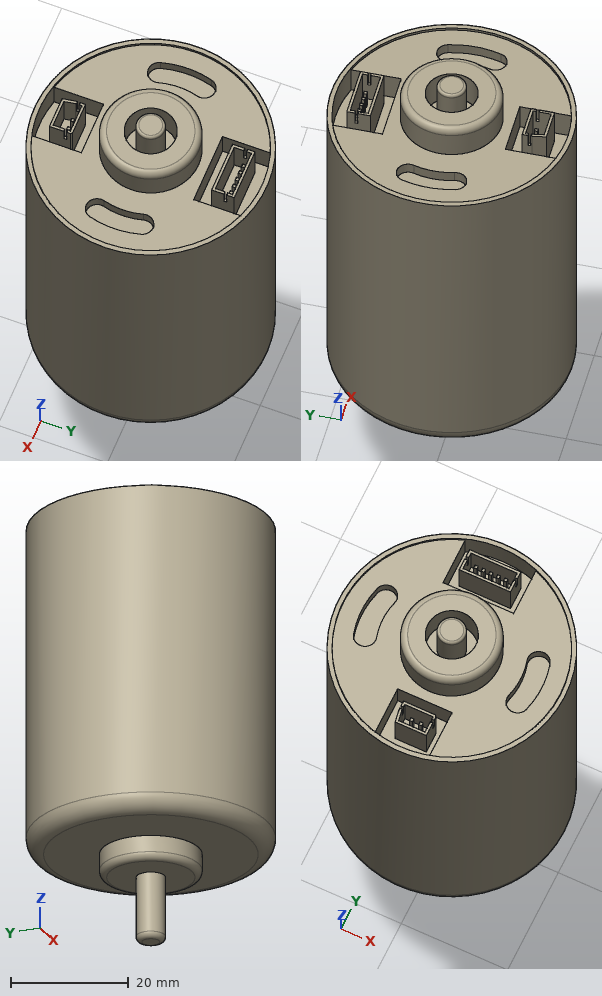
import cadquery as cq
import math

CAN_HEIGHT = 59.1
SHAFT_BOTTOM = -16.0
SHAFT_LENGTH = 82.5
SHAFT_TOP = SHAFT_BOTTOM + SHAFT_LENGTH
LOWER_BOSS_HEIGHT = 4.2
SHAFT_PROJECTION = 2.0
UPPER_BOSS_TOP = SHAFT_TOP - SHAFT_PROJECTION

CAN_DIAMETER = 42.4
CAN_FILLET = 3.0
RIM_INNER_DIAMETER = 40.7
CAP_RECESS = 0.5
CAP_LEVEL = CAN_HEIGHT - CAP_RECESS

BOSS_DIAMETER = 17.5
BOSS_FILLET = 1.2
BEARING_BORE = 9.0
SHAFT_DIAMETER = 5.0
SHAFT_TOP_FILLET = 0.5
SHAFT_BOTTOM_FILLET = 1.0

SLOT_RADIUS = 14.9
SLOT_WIDTH = 4.0
SLOT_HALF_ANGLE = 16.0
SLOT_DEPTH = 2.0

POCKET_DEPTH = 4.95
SIGNAL_POCKET_WIDTH = 13.3
SIGNAL_POCKET_START = 10.5
POWER_POCKET_WIDTH = 10.2
POWER_POCKET_START = 10.65

CONNECTOR_TOP = CAN_HEIGHT + 1.5
POCKET_FLOOR = CAP_LEVEL - POCKET_DEPTH
CONNECTOR_WALL = 0.5
CONNECTOR_BASE = 1.0
NOTCH_WIDTH = 0.5
NOTCH_DEPTH = 2.4
PIN_SIZE = 0.6
PIN_TOP_GAP = 2.6

SIGNAL_PIN_COUNT = 5
SIGNAL_PIN_PITCH = 1.4
SIGNAL_PIN_MIDDLE = -0.2
SIGNAL_WIDTH = 9.65
SIGNAL_BACK = 13.0
SIGNAL_FRONT = 17.2
SIGNAL_NOTCH_Y = 15.5
SIGNAL_PIN_Y = 15.75

POWER_PIN_COUNT = 2
POWER_PIN_PITCH = 1.7
POWER_LEFT = -2.9
POWER_RIGHT = 3.4
POWER_PIN_MIDDLE = (POWER_LEFT + POWER_RIGHT) / 2
POWER_BACK = -13.0
POWER_FRONT = -17.2
POWER_TAPER_START = -14.8
POWER_TAPER = 0.4
POWER_CORNER_CHAMFER = 0.25
POWER_NOTCH_Y = -14.3
POWER_PIN_Y = -14.5


def cylinder(diameter, bottom, top):
    return cq.Workplane("XY").workplane(offset=bottom).circle(diameter / 2).extrude(top - bottom)


def box(x_min, x_max, y_min, y_max, bottom, top):
    size = (x_max - x_min, y_max - y_min, top - bottom)
    return cq.Workplane("XY").box(*size, centered=False).translate((x_min, y_min, bottom))


def make_housing():
    can = cylinder(CAN_DIAMETER, 0, CAN_HEIGHT).faces("<Z").edges().fillet(CAN_FILLET)
    can = can.cut(cylinder(RIM_INNER_DIAMETER, CAP_LEVEL, CAN_HEIGHT))
    bosses = cylinder(BOSS_DIAMETER, -LOWER_BOSS_HEIGHT, UPPER_BOSS_TOP)
    bosses = bosses.faces("<Z or >Z").edges().fillet(BOSS_FILLET)
    return can.union(bosses).cut(cylinder(BEARING_BORE, CAP_LEVEL, UPPER_BOSS_TOP))


def make_shaft():
    shaft = cylinder(SHAFT_DIAMETER, SHAFT_BOTTOM, SHAFT_TOP)
    shaft = shaft.faces(">Z").edges().fillet(SHAFT_TOP_FILLET)
    return shaft.faces("<Z").edges().fillet(SHAFT_BOTTOM_FILLET)


def make_slot(middle_angle):
    """Arc-shaped slot centred on the given direction about the Z axis."""
    def point(radius, angle):
        turn = math.radians(middle_angle + angle)
        return radius * math.cos(turn), radius * math.sin(turn)

    inner = SLOT_RADIUS - SLOT_WIDTH / 2
    outer = SLOT_RADIUS + SLOT_WIDTH / 2
    cap_angle = SLOT_HALF_ANGLE + math.degrees(SLOT_WIDTH / 2 / SLOT_RADIUS)
    return (
        cq.Workplane("XY").workplane(offset=CAP_LEVEL - SLOT_DEPTH)
        .moveTo(*point(outer, -SLOT_HALF_ANGLE))
        .threePointArc(point(outer, 0), point(outer, SLOT_HALF_ANGLE))
        .threePointArc(point(SLOT_RADIUS, cap_angle), point(inner, SLOT_HALF_ANGLE))
        .threePointArc(point(inner, 0), point(inner, -SLOT_HALF_ANGLE))
        .threePointArc(point(SLOT_RADIUS, -cap_angle), point(outer, -SLOT_HALF_ANGLE))
        .close()
        .extrude(SLOT_DEPTH)
    )


def make_pocket(width, y_min, y_max):
    """Rectangular pocket that ends at the inside of the can rim."""
    pocket = box(-width / 2, width / 2, y_min, y_max, POCKET_FLOOR, CAP_LEVEL)
    return pocket.intersect(cylinder(RIM_INNER_DIAMETER, POCKET_FLOOR, CAP_LEVEL))


def make_shell(outline, notch_y):
    """Open-topped connector shell with a notch in both end walls."""
    def prism(bottom, inset=0):
        plan = cq.Workplane("XY").workplane(offset=bottom).polyline(outline).close()
        if inset:
            plan = plan.offset2D(-inset)
        return plan.extrude(CONNECTOR_TOP - bottom)

    shell = prism(POCKET_FLOOR)
    limits = shell.val().BoundingBox()
    notch_min = notch_y - NOTCH_WIDTH / 2
    notch_max = notch_y + NOTCH_WIDTH / 2
    notch_floor = CONNECTOR_TOP - NOTCH_DEPTH
    notches = box(limits.xmin, limits.xmax, notch_min, notch_max, notch_floor, CONNECTOR_TOP)
    return shell.cut(prism(POCKET_FLOOR + CONNECTOR_BASE, CONNECTOR_WALL)).cut(notches)


def make_pins(count, pitch, middle_x, y):
    """Row of square pins rising from the pocket floor."""
    return (
        cq.Workplane("XY").workplane(offset=POCKET_FLOOR).center(middle_x, y)
        .rarray(pitch, 0.8, count, 1)
        .rect(PIN_SIZE, PIN_SIZE)
        .extrude(CONNECTOR_TOP - PIN_TOP_GAP - POCKET_FLOOR)
    )


signal_outline = [
    (-SIGNAL_WIDTH / 2, SIGNAL_BACK),
    (SIGNAL_WIDTH / 2, SIGNAL_BACK),
    (SIGNAL_WIDTH / 2, SIGNAL_FRONT),
    (-SIGNAL_WIDTH / 2, SIGNAL_FRONT),
]
power_outline = [
    (POWER_LEFT, POWER_BACK),
    (POWER_RIGHT - POWER_CORNER_CHAMFER, POWER_BACK),
    (POWER_RIGHT, POWER_BACK - POWER_CORNER_CHAMFER),
    (POWER_RIGHT, POWER_FRONT),
    (POWER_LEFT + POWER_TAPER, POWER_FRONT),
    (POWER_LEFT, POWER_TAPER_START),
]

result = make_housing().union(make_shaft())
for slot_direction in (0, 180):
    result = result.cut(make_slot(slot_direction))
result = result.cut(make_pocket(SIGNAL_POCKET_WIDTH, SIGNAL_POCKET_START, CAN_DIAMETER / 2))
result = result.cut(make_pocket(POWER_POCKET_WIDTH, -CAN_DIAMETER / 2, -POWER_POCKET_START))
result = result.union(make_shell(signal_outline, SIGNAL_NOTCH_Y))
result = result.union(make_shell(power_outline, POWER_NOTCH_Y))
result = result.union(make_pins(SIGNAL_PIN_COUNT, SIGNAL_PIN_PITCH, SIGNAL_PIN_MIDDLE, SIGNAL_PIN_Y))
result = result.union(make_pins(POWER_PIN_COUNT, POWER_PIN_PITCH, POWER_PIN_MIDDLE, POWER_PIN_Y))